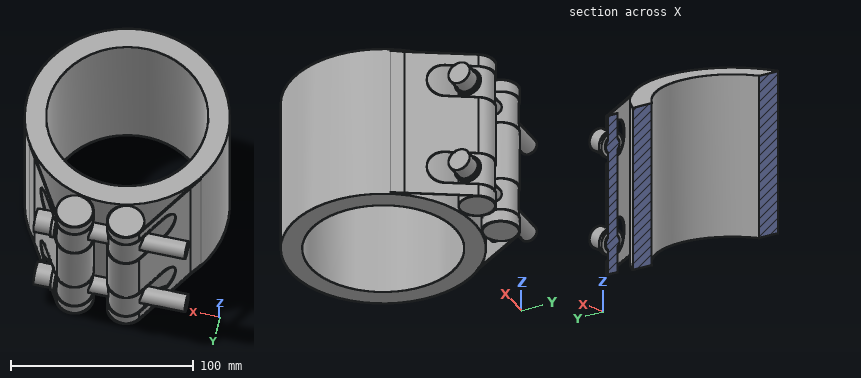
import cadquery as cq
import math

sleeve_radius = 112.6 / 2
bore_radius = 88.9 / 2
sleeve_height = 94.0

pin_radius = 20.0 / 2
pin_height = 92.2
pin_x = 14.5

band_thickness = 0.5
band_height = 91.7
overall_depth = 131.7
loop_radius = pin_radius + band_thickness
pin_y = overall_depth - sleeve_radius - loop_radius

bolt_radius = 10.0 / 2
bolt_start_x = -48.6
bolt_z = 28.2
washer_radius = 15.0 / 2
washer_thickness = 2.1
head_radius = 13.0 / 2
head_length = 9.6

slot_width = 20.0
slot_tip_y = 46.0

pin_distance = math.hypot(pin_x, pin_y)
pin_angle = math.atan2(pin_y, -pin_x)
normal_angle = pin_angle + math.acos((sleeve_radius - loop_radius) / pin_distance)
inward_angle = pin_angle - math.pi


def polar(radius, angle, center=(0, 0)):
    """Point at a radius and angle about a center."""
    return (center[0] + radius * math.cos(angle), center[1] + radius * math.sin(angle))


def x_cylinder(radius, start_x, length, z):
    """Cylinder along X at the height of a bolt."""
    return cq.Workplane("YZ", origin=(start_x, pin_y, z)).circle(radius).extrude(length)


def make_sleeve():
    return cq.Workplane("XY").circle(sleeve_radius).circle(bore_radius).extrude(sleeve_height / 2, both=True)


def make_slot(z):
    """Cutter normal to the sheet, with a round lower end and open past the pin."""
    radius = slot_width / 2
    tangent_x, tangent_y = polar(sleeve_radius, normal_angle)
    rise = math.sin(normal_angle - math.pi / 2)
    tip_offset = (slot_tip_y - tangent_y) / rise
    sheet_plane = cq.Plane(
        origin=(tangent_x, tangent_y, z),
        xDir=polar(1, normal_angle - math.pi / 2) + (0,),
        normal=polar(1, normal_angle) + (0,),
    )
    slot_end = tip_offset + 4 * loop_radius
    cut_depth = 3 * loop_radius
    return (
        cq.Workplane(sheet_plane)
        .moveTo(slot_end, -radius)
        .lineTo(tip_offset + radius, -radius)
        .threePointArc((tip_offset, 0), (tip_offset + radius, radius))
        .lineTo(slot_end, radius)
        .close()
        .extrude(cut_depth, both=True)
    )


def make_band():
    """Left side of the band: the flat sheet, then the loop over the pin down to the sleeve."""
    pin_center = (-pin_x, pin_y)
    middle_angle = (normal_angle + inward_angle) / 2
    band = (
        cq.Workplane("XY")
        .moveTo(*polar(sleeve_radius, normal_angle))
        .lineTo(*polar(loop_radius, normal_angle, pin_center))
        .threePointArc(
            polar(loop_radius, middle_angle, pin_center),
            polar(loop_radius, inward_angle, pin_center),
        )
        .lineTo(*polar(pin_radius, inward_angle, pin_center))
        .threePointArc(
            polar(pin_radius, middle_angle, pin_center),
            polar(pin_radius, normal_angle, pin_center),
        )
        .lineTo(*polar(sleeve_radius - band_thickness, normal_angle))
        .close()
        .extrude(band_height / 2, both=True)
    )
    for z in (-bolt_z, bolt_z):
        band = band.cut(make_slot(z))
    return band


def make_pin():
    return cq.Workplane("XY").center(-pin_x, pin_y).circle(pin_radius).extrude(pin_height / 2, both=True)


def make_bolt(z):
    """Shank, then a washer bearing on the right pin, then the round head."""
    washer_x = pin_x + pin_radius
    head_x = washer_x + washer_thickness
    shank = x_cylinder(bolt_radius, bolt_start_x, head_x - bolt_start_x, z)
    washer = x_cylinder(washer_radius, washer_x, washer_thickness, z)
    head = x_cylinder(head_radius, head_x, head_length, z)
    return shank.union(washer).union(head)


clamp_side = make_pin().union(make_band())
result = make_sleeve().union(clamp_side).union(clamp_side.mirror("YZ"))
for bolt_height in (-bolt_z, bolt_z):
    result = result.union(make_bolt(bolt_height))